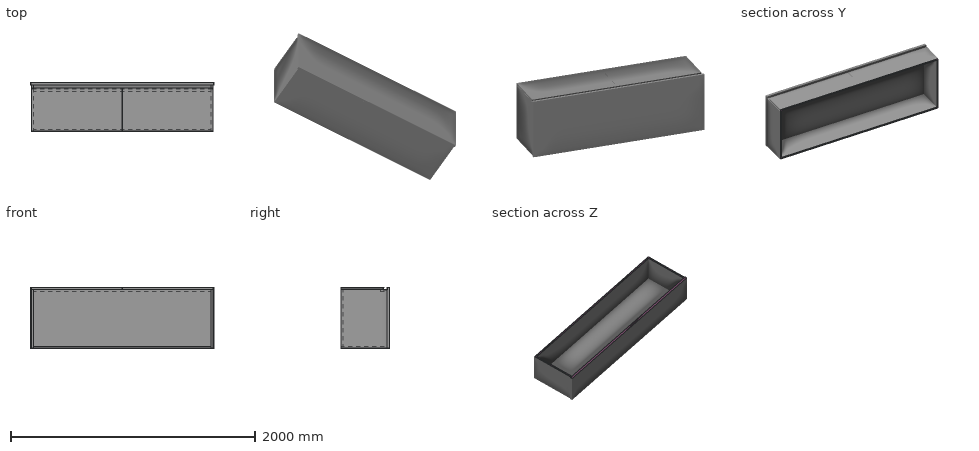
import cadquery as cq

LENGTH = 1500.0
DEPTH = 400.0
HEIGHT = 500.0

BACK_THICKNESS = 21.0
END_OVERHANG = 6.0

BOARD = 16.0
CASE_HEIGHT = 480.0

LID_THICKNESS = 16.0
LID_GAP = 2.0
LID_INSET = 2.0
FINGER_GAP = 27.0
BEVEL_RUN = 8.0

RAIL_WIDTH = 2 * FINGER_GAP

FRONT_Y = -DEPTH / 2
BACK_Y = DEPTH / 2 - BACK_THICKNESS
CASE_HALF = LENGTH / 2 - END_OVERHANG
INNER_HALF = CASE_HALF - BOARD


def box_between(x_range, y_range, z_range):
    """Box given by its lower and upper limit along each axis."""
    lengths = [high - low for low, high in (x_range, y_range, z_range)]
    corner = (x_range[0], y_range[0], z_range[0])
    return cq.Workplane("XY").box(*lengths, centered=False).translate(corner)


def make_back_plate():
    return box_between((-LENGTH / 2, LENGTH / 2), (BACK_Y, DEPTH / 2), (0, HEIGHT))


def make_side(end):
    """End board of the case; end is -1 for the -X end and 1 for the +X end."""
    x_range = sorted((end * INNER_HALF, end * CASE_HALF))
    return box_between(x_range, (FRONT_Y, BACK_Y), (0, CASE_HEIGHT))


def make_bottom():
    """Floor board between the sides, running under the front panel."""
    return box_between((-INNER_HALF, INNER_HALF), (FRONT_Y, BACK_Y), (0, BOARD))


def make_front_panel():
    """Front board standing on the floor, flush with the ends of the sides."""
    y_range = (FRONT_Y, FRONT_Y + BOARD)
    return box_between((-INNER_HALF, INNER_HALF), y_range, (BOARD, CASE_HEIGHT))


def make_rail():
    """Flat board along the back plate, flush with the top of the sides."""
    y_range = (BACK_Y - RAIL_WIDTH, BACK_Y)
    return box_between((-INNER_HALF, INNER_HALF), y_range, (CASE_HEIGHT - BOARD, CASE_HEIGHT))


def make_lid(end):
    """Lid over one half of the case, with its rear edge undercut as a finger grip."""
    rear_y = BACK_Y - FINGER_GAP
    lid_top = CASE_HEIGHT + LID_THICKNESS
    profile = [
        (FRONT_Y, CASE_HEIGHT),
        (rear_y - BEVEL_RUN, CASE_HEIGHT),
        (rear_y, lid_top),
        (FRONT_Y, lid_top),
    ]
    lid_length = CASE_HALF - LID_INSET - LID_GAP / 2
    start_x = LID_GAP / 2 if end > 0 else LID_INSET - CASE_HALF
    return cq.Workplane("YZ", origin=(start_x, 0, 0)).polyline(profile).close().extrude(lid_length)


back_plate = make_back_plate()
bottom = make_bottom()
front_panel = make_front_panel()
rail = make_rail()
sides = [make_side(end) for end in (-1, 1)]
lids = [make_lid(end) for end in (-1, 1)]

result = cq.Compound.makeCompound([
    back_plate.val(),
    bottom.val(),
    front_panel.val(),
    rail.val(),
    *[side.val() for side in sides],
    *[lid.val() for lid in lids],
])